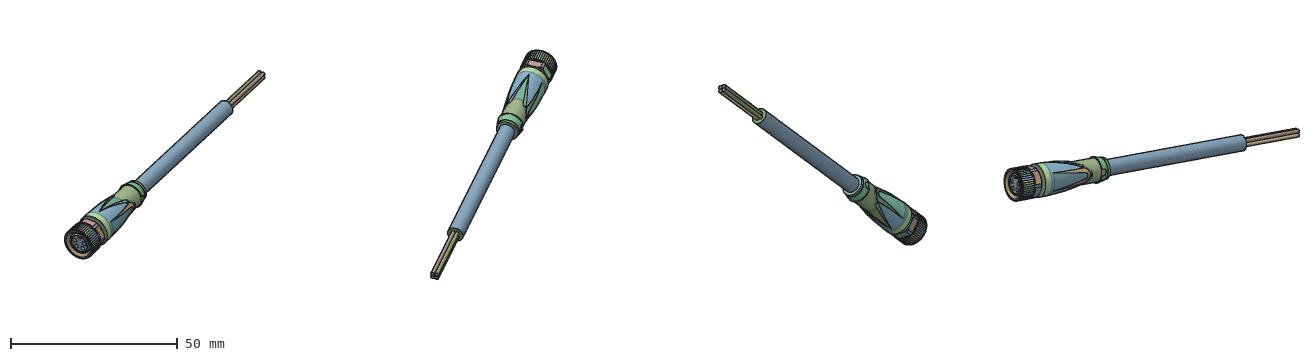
import cadquery as cq
import math

length = 103.0
rear_y = length / 2
front_y = -length / 2

wire_radius = 0.6
wire_length = 20.0
jacket_radius = 2.5
jacket_length = 50.1
jacket_rear_y = rear_y - wire_length

grip_rear_y = jacket_rear_y - jacket_length
collar_lip_length = 0.9
collar_length = 3.4
collar_lip_radius = 3.4
collar_cone_rear_radius = 3.55
collar_cone_front_radius = 4.07
collar_pocket_radius = 1.0
collar_pocket_setback = 1.6
collar_pocket_rear_y = grip_rear_y - collar_pocket_setback
collar_pocket_floor = 3.6
collar_front_y = grip_rear_y - collar_length
barrel_radius = 3.7
grip_front_y = -43.1
band_length = 2.3
band_rear_y = grip_front_y + band_length
flare_sections = [
    (-25.3, 3.8, 3.0),
    (-29.6, 4.4, 3.9),
    (-34.0, 4.8, 4.6),
    (-38.1, 4.9, 5.0),
    (band_rear_y, 5.0, 5.1),
]
band_half_width, band_half_height = flare_sections[-1][1:]
section_points = 16

panel_front_y = -39.8
panel_taper = 0.018
panel_reach = 2 * band_half_height
side_panel_front_half = 2.9
side_panel_nose_y = -27.0
side_panel_nose_half = 1.0
side_border_nose_y = -26.0
side_border_nose_half = 2.4
top_panel_rear_y = -27.8
top_panel_rear_half = 1.91
top_border_rear_half = 3.04

nut_rear_y = -44.2
hex_length = 2.5
hex_across_flats = 9.1
hex_rear_chamfer = 0.3
nut_radius = 5.0
nut_chamfer = 0.2
knurl_rear_y = nut_rear_y - hex_length
knurl_end_gap = 0.4
groove_count = 48
groove_step = 360 / groove_count
groove_radius = 0.46
groove_depth = 0.12
land_angles = (30, 150, 210, 330)
thread_radius = 3.45
nut_mouth_radius = 4.27
nut_mouth_length = 0.9
nut_back_wall = 1.2
nut_shoulder_y = nut_rear_y - nut_back_wall

neck_radius = 3.1
nose_radius = 3.4
nose_tip_radius = 3.04
nose_bevel_length = 0.36
nose_front_y = -51.1
socket_bevel_length = 0.2

insert_radius = 2.8
insert_length = 5.2
insert_front_y = -50.8
insert_rear_y = insert_front_y + insert_length
contact_hole_radius = 0.6
contact_hole_depth = 3.1
contact_places = [(side * x, z) for x, z in ((1.6, 0.6), (1.1, -1.3)) for side in (-1, 1)]
key_width = 1.0
key_bottom_z = 2.0
key_depth = 3.1


def cylinder(radius, y_rear, y_front):
    """Solid cylinder on the Y axis."""
    return cq.Workplane("XZ", origin=(0, y_rear, 0)).circle(radius).extrude(y_rear - y_front)


def turned(profile):
    """Revolve a list of (radius, y) points about the Y axis."""
    return cq.Workplane("XY").polyline(profile).close().revolve(360, (0, 0), (0, 1))


def make_wire(x, z):
    return cylinder(wire_radius, rear_y, jacket_rear_y).translate((x, 0, z))


def make_jacket():
    return cylinder(jacket_radius, jacket_rear_y, grip_rear_y)


def ellipse_points(half_width, half_height):
    angles = [2 * math.pi * i / section_points for i in range(section_points)]
    return [(half_width * math.cos(a), half_height * math.sin(a)) for a in angles]


def flare(taper):
    """Smooth loft through the flare ellipses, shrunk more the farther behind panel_front_y."""
    loft = cq.Workplane("XZ")
    last_y = 0
    for y, half_width, half_height in flare_sections:
        inset = taper * (y - panel_front_y)
        points = ellipse_points(half_width - inset, half_height - inset)
        loft = loft.workplane(offset=last_y - y).spline(points, periodic=True).close()
        last_y = y
    return loft.loft(ruled=False, combine=True)


def side_panel(nose_y, nose_half):
    """Prism across X with a round nose to the rear, for a panel on each side."""
    shoulder_y = nose_y - nose_half
    return (
        cq.Workplane("YZ")
        .moveTo(panel_front_y, -side_panel_front_half)
        .lineTo(shoulder_y, -nose_half)
        .threePointArc((nose_y, 0), (shoulder_y, nose_half))
        .lineTo(panel_front_y, side_panel_front_half)
        .close()
        .extrude(panel_reach, both=True)
    )


def top_panel(rear_half):
    """Triangular prism across Z with its tip to the front, for a panel above and below."""
    return (
        cq.Workplane("XY")
        .moveTo(-rear_half, top_panel_rear_y)
        .lineTo(rear_half, top_panel_rear_y)
        .lineTo(0, panel_front_y)
        .close()
        .extrude(panel_reach, both=True)
    )


def make_flare():
    border_core = flare(panel_taper / 2)
    panel_core = flare(panel_taper)
    body = flare(0)
    borders = (
        side_panel(side_border_nose_y, side_border_nose_half),
        top_panel(top_border_rear_half),
    )
    panels = (
        side_panel(side_panel_nose_y, side_panel_nose_half),
        top_panel(top_panel_rear_half),
    )
    for prism in borders:
        body = body.cut(prism.cut(border_core))
    for prism in panels:
        body = body.cut(prism.cut(panel_core))
    return body


def collar_pocket(side):
    """Round-ended pocket open to the front of the collar, on one X side."""
    centre_y = collar_pocket_rear_y - collar_pocket_radius
    end = cq.Workplane("YZ").center(centre_y, 0).circle(collar_pocket_radius)
    run = centre_y - collar_front_y
    tail = cq.Workplane("YZ").center(centre_y - run / 2, 0).rect(run, 2 * collar_pocket_radius)
    pocket = end.extrude(side * barrel_radius).union(tail.extrude(side * barrel_radius))
    return pocket.translate((side * collar_pocket_floor, 0, 0))


def make_grip():
    collar = turned(
        [
            (0, grip_rear_y),
            (collar_lip_radius, grip_rear_y),
            (collar_lip_radius, grip_rear_y - collar_lip_length),
            (collar_cone_rear_radius, grip_rear_y - collar_lip_length),
            (collar_cone_front_radius, collar_front_y),
            (0, collar_front_y),
        ]
    )
    for side in (-1, 1):
        collar = collar.cut(collar_pocket(side))
    barrel = cylinder(barrel_radius, collar_front_y, band_rear_y)
    band = (
        cq.Workplane("XZ", origin=(0, band_rear_y, 0))
        .spline(ellipse_points(band_half_width, band_half_height), periodic=True)
        .close()
        .extrude(band_length)
    )
    return collar.union(barrel).union(make_flare()).union(band)


def groove_tool(angle):
    """Cylinder along Y that scoops one concave groove out of the sleeve."""
    groove_rear_y = knurl_rear_y - knurl_end_gap
    groove_front_y = front_y + knurl_end_gap
    centre_radius = nut_radius - groove_depth + groove_radius
    x = centre_radius * math.cos(math.radians(angle))
    z = centre_radius * math.sin(math.radians(angle))
    return cylinder(groove_radius, groove_rear_y, groove_front_y).translate((x, 0, z))


def make_sleeve():
    """Knurled front of the nut, left plain at the land angles."""
    sleeve = cylinder(nut_radius, knurl_rear_y, front_y).faces("<Y").chamfer(nut_chamfer)
    for i in range(groove_count):
        angle = i * groove_step
        if angle not in land_angles:
            sleeve = sleeve.cut(groove_tool(angle))
    return sleeve


def make_nut():
    corner_limit = cylinder(nut_radius, nut_rear_y, knurl_rear_y).faces(">Y").chamfer(hex_rear_chamfer)
    hexagon = (
        cq.Workplane("XZ", origin=(0, nut_rear_y, 0))
        .polygon(6, hex_across_flats / math.cos(math.pi / 6))
        .extrude(hex_length)
        .intersect(corner_limit)
    )
    bore = turned(
        [
            (0, nut_rear_y),
            (neck_radius, nut_rear_y),
            (neck_radius, nut_shoulder_y),
            (thread_radius, nut_shoulder_y),
            (thread_radius, front_y + nut_mouth_length),
            (nut_mouth_radius, front_y),
            (0, front_y),
        ]
    )
    return hexagon.union(make_sleeve()).cut(bore)


def make_carrier():
    return turned(
        [
            (0, grip_front_y),
            (neck_radius, grip_front_y),
            (neck_radius, nut_shoulder_y),
            (nose_radius, nut_shoulder_y),
            (nose_radius, nose_front_y + nose_bevel_length),
            (nose_tip_radius, nose_front_y),
            (insert_radius, nose_front_y + socket_bevel_length),
            (insert_radius, insert_rear_y),
            (0, insert_rear_y),
        ]
    )


def make_insert():
    body = cylinder(insert_radius, insert_rear_y, insert_front_y)
    holes = (
        cq.Workplane("XZ", origin=(0, insert_front_y + contact_hole_depth, 0))
        .pushPoints(contact_places)
        .circle(contact_hole_radius)
        .extrude(contact_hole_depth)
    )
    key_slot = (
        cq.Workplane("XY")
        .box(key_width, key_depth, insert_radius, centered=(True, False, False))
        .translate((0, insert_front_y, key_bottom_z))
    )
    return body.cut(holes).cut(key_slot)


wires = [make_wire(x, z) for x in (-wire_radius, wire_radius) for z in (-wire_radius, wire_radius)]
jacket = make_jacket()
grip = make_grip()
nut = make_nut()
carrier = make_carrier()
insert = make_insert()

result = cq.Compound.makeCompound(
    [wire.val() for wire in wires]
    + [jacket.val(), grip.val(), nut.val(), carrier.val(), insert.val()]
)